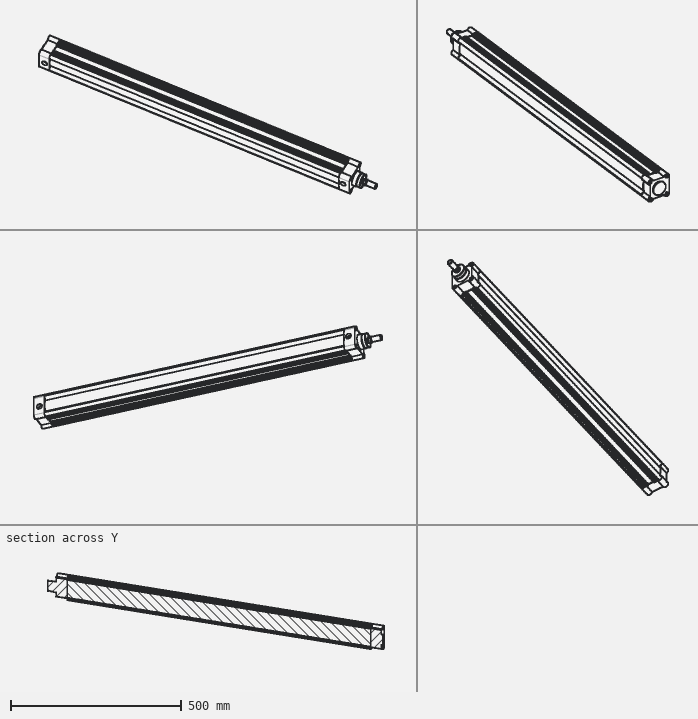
import cadquery as cq
import math

TOTAL_LENGTH = 1094.0
REAR_BOSS_LENGTH = 4.0
REAR_CAP_END = 38.0
FRONT_CAP_START = 990.0
FRONT_CAP_END = 1025.0
COLLAR_END = 1038.0
GROOVE_START = 1040.0
GROOVE_END = 1049.0
NECK_END = 1051.0
SHANK_START = 1055.0
THREAD_START = 1065.0

SECTION_SIZE = 75.0
HALF_SIZE = SECTION_SIZE / 2
BOLT_OFFSET = 28.0
CORNER_RADIUS = HALF_SIZE - BOLT_OFFSET
CAP_RECESS_DEPTH = 7.0
BOLT_HOLE_DIAMETER = 8.0
BOLT_HOLE_DEPTH = 11.0

PORT_DIAMETER = 16.0
PORT_DEPTH = 11.0
PORT_HEIGHT_OFFSET = 3.8
REAR_PORT_X = 23.0
FRONT_PORT_X = 1004.0

TUBE_RADIUS = 34.0
RAIL_OFFSET = 16.0
RAIL_WIDTH = 12.0
RAIL_ROOF = 1.0
SLOT_WIDTH = 9.0
SLOT_MOUTH_WIDTH = 3.0
SLOT_FLOOR_HEIGHT = 30.0

BOSS_DIAMETER = 44.0
COLLAR_DIAMETER = 45.0
NECK_DIAMETER = 44.0
GROOVE_DEPTH = 0.9
ROD_RELIEF_DIAMETER = 18.0
SHANK_DIAMETER = 20.0
SHANK_CHAMFER = 3.0
THREAD_DIAMETER = 16.0
THREAD_CHAMFER = 1.6

CORNER_SIGNS = [(1, 1), (1, -1), (-1, 1), (-1, -1)]
CORNER_CENTRES = [(y * BOLT_OFFSET, z * BOLT_OFFSET) for y, z in CORNER_SIGNS]


def section_plane(x):
    """Plane across the axis at x, with local axes along Y and Z."""
    return cq.Workplane(cq.Plane(origin=(x, 0, 0), xDir=(0, 1, 0), normal=(1, 0, 0)))


def axial_cylinder(diameter, start, end):
    return section_plane(start).circle(diameter / 2).extrude(end - start)


def make_cap_block(start, end):
    """Cap with round corner lobes, recessed on every side except the flat port side (-Y)."""
    length = end - start
    recessed = HALF_SIZE - CAP_RECESS_DEPTH
    block = (
        section_plane(start)
        .center((recessed - HALF_SIZE) / 2, 0)
        .rect(HALF_SIZE + recessed, 2 * BOLT_OFFSET)
        .extrude(length)
    )
    bridge = section_plane(start).rect(2 * BOLT_OFFSET, 2 * recessed).extrude(length)
    lobes = section_plane(start).pushPoints(CORNER_CENTRES).circle(CORNER_RADIUS).extrude(length)
    return block.union(bridge).union(lobes)


def cut_port(cap, x, z):
    port = (
        cq.Workplane("XZ", origin=(x, -HALF_SIZE, z))
        .circle(PORT_DIAMETER / 2)
        .extrude(-PORT_DEPTH)
    )
    return cap.cut(port)


def cut_bolt_holes(cap, face_x, depth):
    """Blind holes in the four lobes; depth is signed along X."""
    holes = (
        section_plane(face_x)
        .pushPoints(CORNER_CENTRES)
        .circle(BOLT_HOLE_DIAMETER / 2)
        .extrude(depth)
    )
    return cap.cut(holes)


def make_rear_cap():
    cap = make_cap_block(REAR_BOSS_LENGTH, REAR_CAP_END)
    cap = cut_bolt_holes(cap, REAR_BOSS_LENGTH, BOLT_HOLE_DEPTH)
    cap = cut_port(cap, REAR_PORT_X, -PORT_HEIGHT_OFFSET)
    return cap.union(axial_cylinder(BOSS_DIAMETER, 0, REAR_CAP_END))


def make_neck():
    """Collar and neck turned in one piece, with a shallow round groove in the neck."""
    neck_radius = NECK_DIAMETER / 2
    groove_middle = (GROOVE_START + GROOVE_END) / 2
    return (
        cq.Workplane("XY")
        .moveTo(FRONT_CAP_END, 0)
        .lineTo(FRONT_CAP_END, COLLAR_DIAMETER / 2)
        .lineTo(COLLAR_END, COLLAR_DIAMETER / 2)
        .lineTo(COLLAR_END, neck_radius)
        .lineTo(GROOVE_START, neck_radius)
        .threePointArc((groove_middle, neck_radius - GROOVE_DEPTH), (GROOVE_END, neck_radius))
        .lineTo(NECK_END, neck_radius)
        .lineTo(NECK_END, 0)
        .close()
        .revolve(360, (0, 0, 0), (1, 0, 0))
    )


def make_front_cap():
    cap = make_cap_block(FRONT_CAP_START, FRONT_CAP_END)
    cap = cut_bolt_holes(cap, FRONT_CAP_END, -BOLT_HOLE_DEPTH)
    cap = cut_port(cap, FRONT_PORT_X, PORT_HEIGHT_OFFSET)
    return cap.union(make_neck())


def make_barrel_corner(y_sign, z_sign):
    """Rib along one corner: a band at 45 degrees from the axis outwards, closed by a round end."""
    arc_middle = BOLT_OFFSET + CORNER_RADIUS * math.sqrt(0.5)
    return (
        section_plane(REAR_CAP_END)
        .moveTo(0, 0)
        .lineTo(0, z_sign * CORNER_RADIUS)
        .lineTo(y_sign * BOLT_OFFSET, z_sign * HALF_SIZE)
        .threePointArc(
            (y_sign * arc_middle, z_sign * arc_middle),
            (y_sign * HALF_SIZE, z_sign * BOLT_OFFSET),
        )
        .lineTo(y_sign * CORNER_RADIUS, 0)
        .close()
        .extrude(FRONT_CAP_START - REAR_CAP_END)
    )


def make_rail_bar(y_sign, z_sign, width, bottom, top):
    """Bar along the barrel, centred on a rail, between two heights from the axis."""
    return (
        section_plane(REAR_CAP_END)
        .center(y_sign * RAIL_OFFSET, z_sign * (bottom + top) / 2)
        .rect(width, top - bottom)
        .extrude(FRONT_CAP_START - REAR_CAP_END)
    )


def make_barrel():
    """Round tube outline with four corner ribs and two slotted rails both above and below."""
    barrel = axial_cylinder(2 * TUBE_RADIUS, REAR_CAP_END, FRONT_CAP_START)
    slot_top = HALF_SIZE - RAIL_ROOF
    for y, z in CORNER_SIGNS:
        barrel = barrel.union(make_barrel_corner(y, z))
        barrel = barrel.union(make_rail_bar(y, z, RAIL_WIDTH, 0, HALF_SIZE))
        barrel = barrel.cut(make_rail_bar(y, z, SLOT_WIDTH, SLOT_FLOOR_HEIGHT, slot_top))
        barrel = barrel.cut(make_rail_bar(y, z, SLOT_MOUTH_WIDTH, SLOT_FLOOR_HEIGHT, HALF_SIZE))
    return barrel


def make_rod():
    relief = axial_cylinder(ROD_RELIEF_DIAMETER, NECK_END, SHANK_START)
    shank = axial_cylinder(SHANK_DIAMETER, SHANK_START, THREAD_START)
    shank = shank.faces(">X").chamfer(SHANK_CHAMFER, (SHANK_DIAMETER - THREAD_DIAMETER) / 2)
    thread = axial_cylinder(THREAD_DIAMETER, THREAD_START, TOTAL_LENGTH)
    thread = thread.faces(">X").chamfer(THREAD_CHAMFER)
    return relief.union(shank).union(thread)


rear_cap = make_rear_cap()
barrel = make_barrel()
front_cap = make_front_cap()
rod = make_rod()

result = cq.Compound.makeCompound([rear_cap.val(), barrel.val(), front_cap.val(), rod.val()])